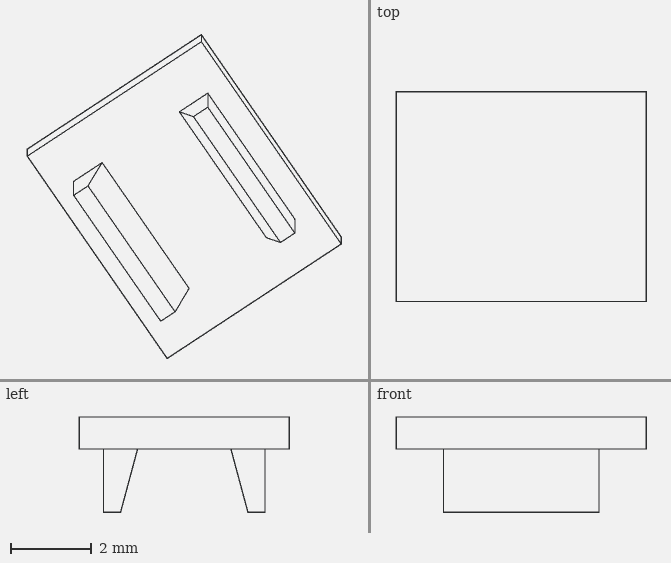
import cadquery as cq

plate_length = 6.2
plate_width = 5.2
plate_thickness = 0.8
total_height = 2.37

leg_length = 3.855
leg_outer_span = 4.005
leg_root_width = 0.85
leg_tip_width = 0.43
leg_height = total_height - plate_thickness


def make_plate():
    """Flat plate resting on the plane Z = 0."""
    return cq.Workplane("XY").box(
        plate_length, plate_width, plate_thickness, centered=(True, True, False)
    )


def make_leg(side):
    """Leg on the +Y (side = 1) or -Y (side = -1) half: upright outside, sloped inside."""
    outer = leg_outer_span / 2
    profile = [
        (side * outer, 0),
        (side * outer, -leg_height),
        (side * (outer - leg_tip_width), -leg_height),
        (side * (outer - leg_root_width), 0),
    ]
    return cq.Workplane("YZ").polyline(profile).close().extrude(leg_length / 2, both=True)


result = make_plate()
for side in (-1, 1):
    result = result.union(make_leg(side))